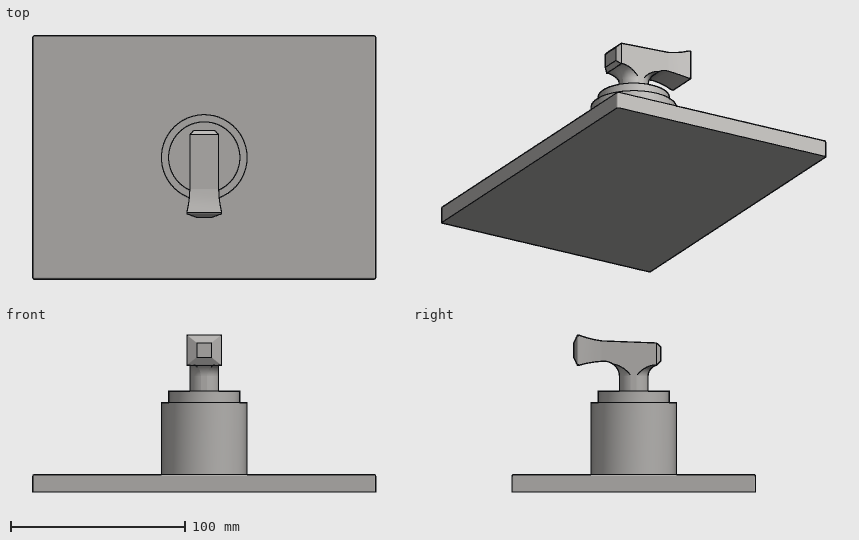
import cadquery as cq
import math

plate_length = 196.8
plate_width = 139.8
plate_height = 10.0
plate_edge_radius = 1.0

barrel_radius = 24.6
barrel_top = 51.4
collar_radius = 20.5
collar_top = 57.9

stem_flat = 8.3
stem_radius = 8.5
stem_top = 66.3

arm_end_y = 15.5
end_chamfer = 2.4
shoulder_y = arm_end_y - end_chamfer
shoulder_top = 85.6
neck_y = -18.3
neck_top = 86.8
front_flare_radius = 8.7
back_flare_radius = 6.7
front_corner_radius = 7.3
arm_bottom = stem_top + front_flare_radius
shoulder_angle = math.acos(1 - (shoulder_y - stem_flat) / back_flare_radius)
shoulder_bottom = stem_top + back_flare_radius * math.sin(shoulder_angle)

rim_start_y = -31.7
rim_end_y = -32.3
tip_y = -34.5
knob_top = 90.2
knob_bottom = 72.6
knob_half_width = 10.0
tip_square = 8.3
rim_radius = 0.5
flare_sag = 0.4


def flare_point(offset, radius, angle):
    """Point on the concave arc that leaves (offset, stem_top) vertically and bends outward."""
    return (offset + radius * (1 - math.cos(angle)), stem_top + radius * math.sin(angle))


def bowed_midpoint(start, end, sag):
    """Middle of a chord, moved by sag along the second coordinate."""
    return ((start[0] + end[0]) / 2, (start[1] + end[1]) / 2 + sag)


def make_plate():
    plate = cq.Workplane("XY").box(plate_length, plate_width, plate_height, centered=(True, True, False))
    return plate.edges("|Z or >Z").fillet(plate_edge_radius)


def make_barrel():
    barrel = cq.Workplane("XY").circle(barrel_radius).extrude(barrel_top)
    collar = cq.Workplane("XY").circle(collar_radius).extrude(collar_top)
    return barrel.union(collar)


def make_side_shape():
    """Stem, arm and knob outline in the YZ plane, extruded to the full knob width."""
    back_middle = flare_point(stem_flat, back_flare_radius, shoulder_angle / 2)
    front_mid_y, front_mid_z = flare_point(stem_flat, front_flare_radius, math.pi / 4)
    neck_upper = (neck_y, neck_top)
    neck_lower = (neck_y, arm_bottom)
    rim_upper = (rim_start_y, knob_top)
    rim_lower = (rim_start_y, knob_bottom)
    return (
        cq.Workplane("YZ")
        .moveTo(stem_flat, barrel_top)
        .lineTo(stem_flat, stem_top)
        .threePointArc(back_middle, (shoulder_y, shoulder_bottom))
        .lineTo(shoulder_y, shoulder_top)
        .lineTo(*neck_upper)
        .threePointArc(bowed_midpoint(neck_upper, rim_upper, -flare_sag), rim_upper)
        .lineTo(rim_end_y, knob_top)
        .lineTo(rim_end_y, knob_bottom)
        .lineTo(*rim_lower)
        .threePointArc(bowed_midpoint(rim_lower, neck_lower, flare_sag), neck_lower)
        .lineTo(-stem_flat - front_flare_radius, arm_bottom)
        .threePointArc((-front_mid_y, front_mid_z), (-stem_flat, stem_top))
        .lineTo(-stem_flat, barrel_top)
        .close()
        .extrude(knob_half_width, both=True)
    )


def make_plan_shape():
    """Arm and knob outline in the XY plane, extruded from the ground to the knob top."""
    neck = (neck_y, stem_flat)
    rim = (rim_start_y, knob_half_width)
    bow_y, bow_x = bowed_midpoint(neck, rim, -flare_sag)
    return (
        cq.Workplane("XY")
        .moveTo(stem_flat, shoulder_y)
        .lineTo(stem_flat, neck_y)
        .threePointArc((bow_x, bow_y), (knob_half_width, rim_start_y))
        .lineTo(knob_half_width, rim_end_y)
        .lineTo(-knob_half_width, rim_end_y)
        .lineTo(-knob_half_width, rim_start_y)
        .threePointArc((-bow_x, bow_y), (-stem_flat, neck_y))
        .lineTo(-stem_flat, shoulder_y)
        .close()
        .extrude(knob_top)
    )


def make_half_flare(flare_radius, start_angle):
    """Half of a round stem that widens upward, with open room around and above it for the arm."""
    flare_top = stem_top + flare_radius
    flare_edge = stem_radius + flare_radius
    reach = plate_width / 2
    flare = (
        cq.Workplane("XZ")
        .moveTo(0, barrel_top)
        .lineTo(stem_radius, barrel_top)
        .lineTo(stem_radius, stem_top)
        .threePointArc(flare_point(stem_radius, flare_radius, math.pi / 4), (flare_edge, flare_top))
        .lineTo(reach, barrel_top)
        .lineTo(reach, knob_top)
        .lineTo(0, knob_top)
        .close()
        .revolve(180, (0, 0), (0, 1))
    )
    return flare.rotate((0, 0, 0), (0, 0, 1), start_angle)


def make_end_cap(half_width, bottom, top, base_y, end_y, end_width, end_height):
    """Frustum along Y, from a rectangle on the lever to a smaller one centered beyond it."""
    base_plane = cq.Plane(
        origin=(0, base_y, (bottom + top) / 2),
        xDir=(1, 0, 0),
        normal=(0, math.copysign(1, end_y - base_y), 0),
    )
    return (
        cq.Workplane(base_plane)
        .rect(2 * half_width, top - bottom)
        .workplane(offset=abs(end_y - base_y))
        .rect(end_width, end_height)
        .loft(ruled=True)
    )


def make_lever():
    knob_cap = make_end_cap(
        knob_half_width, knob_bottom, knob_top, rim_end_y, tip_y, tip_square, tip_square
    )
    back_cap = make_end_cap(
        stem_flat,
        shoulder_bottom,
        shoulder_top,
        shoulder_y,
        arm_end_y,
        2 * (stem_flat - end_chamfer),
        shoulder_top - shoulder_bottom - 2 * end_chamfer,
    )
    lever = make_side_shape().intersect(make_plan_shape())
    back = lever.intersect(make_half_flare(back_flare_radius, 0)).union(back_cap)
    front = lever.intersect(make_half_flare(front_corner_radius, 180)).union(knob_cap)
    rim_box = cq.selectors.BoxSelector(
        (-plate_length, tip_y + rim_radius / 2, 0),
        (plate_length, rim_start_y - rim_radius / 3, plate_length),
    )
    front = front.edges(rim_box).fillet(rim_radius)
    return back.union(front)


result = make_plate().union(make_barrel()).union(make_lever())